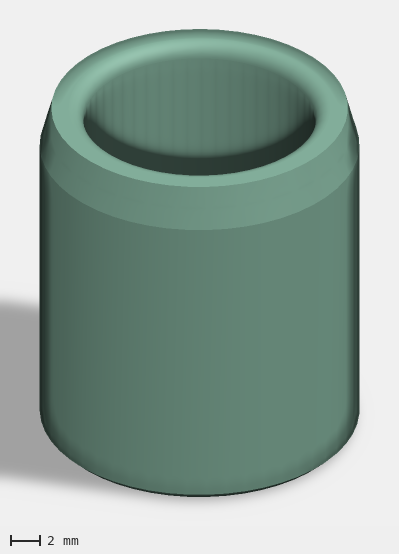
import cadquery as cq
import math

outer_diameter = 22.0
bore_diameter = 16.0
height = 25.0
taper_height = 3.0
taper_angle = 15.0
bottom_chamfer = 0.5
bore_entry_radius = 1.0

sleeve = cq.Workplane("XY").circle(outer_diameter / 2).circle(bore_diameter / 2).extrude(height)

rounded_sleeve = sleeve.faces(">Z").edges(cq.selectors.RadiusNthSelector(0)).fillet(bore_entry_radius)
chamfered_sleeve = rounded_sleeve.faces("<Z").edges(cq.selectors.RadiusNthSelector(-1)).chamfer(bottom_chamfer)

taper_inset = taper_height * math.tan(math.radians(taper_angle))
result = chamfered_sleeve.faces(">Z").edges(cq.selectors.RadiusNthSelector(-1)).chamfer(taper_height, taper_inset)